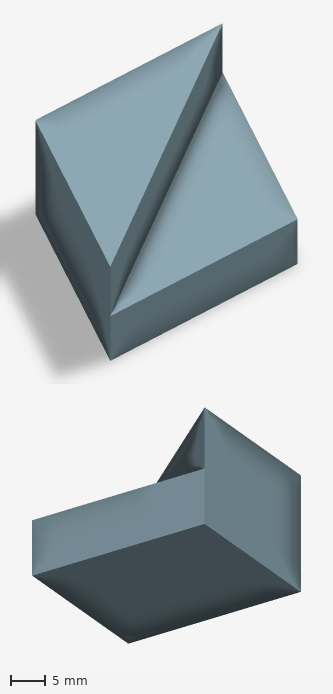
import cadquery as cq

length = 58.0
width = 40.0
tall_height = 17.9
low_height = 8.5


def triangular_prism(tip_x, height):
    """Half of the rhombus, from the long diagonal to a tip on the X axis."""
    outline = [(0, -length / 2), (tip_x, 0), (0, length / 2)]
    return cq.Workplane("XY").polyline(outline).close().extrude(height)


tall_half = triangular_prism(-width / 2, tall_height)
low_half = triangular_prism(width / 2, low_height)

result = tall_half.union(low_half)